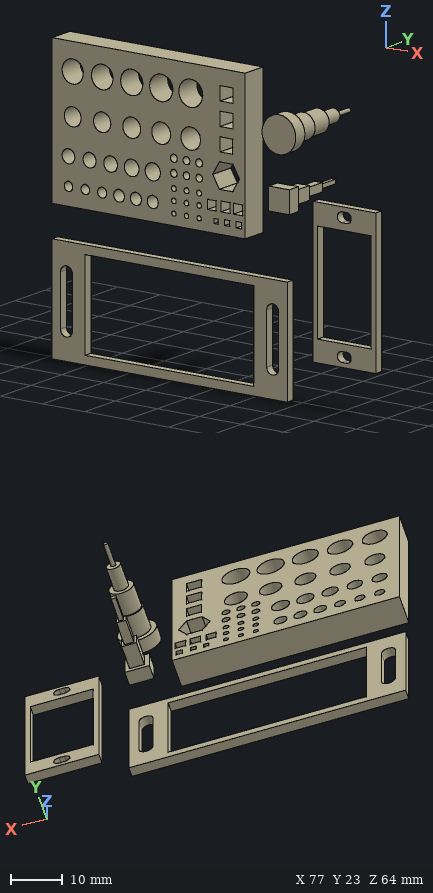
import cadquery as cq


BLOCK_WIDTH = 46.0
BLOCK_HEIGHT = 33.0
BLOCK_DEPTH = 6.0

LARGE_HOLE_ROWS = [
    (27.0, 5.0, 7.0, [5.0, 5.1, 5.2, 5.5, 5.6]),
    (18.0, 5.0, 7.0, [4.0, 4.1, 4.2, 4.5, 4.6]),
    (10.0, 4.0, 5.0, [3.0, 3.1, 3.2, 3.5, 3.6]),
    (4.0, 4.0, 4.0, [2.0, 2.0, 2.15, 2.55, 2.6, 2.6]),
]

SMALL_HOLE_ROWS = [(13.5, 1.6), (10.5, 1.55), (7.5, 1.15), (5.0, 1.1), (2.5, 1.0)]
SMALL_HOLE_FIRST_X = 29.0
SMALL_HOLE_SPACING = 3.0
SMALL_HOLE_COLUMNS = 3

SQUARE_HOLES = [
    (41.5, 28.1, 3.1),
    (41.5, 23.0, 3.1),
    (41.5, 17.95, 3.0),
    (38.0, 5.55, 2.0),
    (41.3, 5.6, 2.15),
    (44.3, 5.6, 2.15),
    (39.0, 2.5, 1.0),
    (41.65, 2.55, 1.15),
    (44.5, 2.55, 1.3),
]

HEX_X = 41.4
HEX_Z = 11.7
HEX_ACROSS_CORNERS = 6.3

FRAME_DEPTH = 2.0

WIDE_WIDTH = 56.0
WIDE_HEIGHT = 23.95
WIDE_GAP_BELOW_BLOCK = 7.0
WIDE_WINDOW_WIDTH = 40.0
WIDE_WINDOW_HEIGHT = 20.0
WIDE_SLOT_SPACING = 49.0
WIDE_SLOT_LENGTH = 14.2
WIDE_SLOT_WIDTH = 2.8

TALL_WIDTH = 15.0
TALL_HEIGHT = 32.0
TALL_RIGHT = 77.0
TALL_TOP = 10.0
TALL_WINDOW_WIDTH = 12.7
TALL_WINDOW_HEIGHT = 22.5
TALL_SLOT_SPACING = 27.8
TALL_SLOT_LENGTH = 3.2
TALL_SLOT_WIDTH = 2.15

PLUG_X = 54.0
HEAD_DEPTH = 3.0
STEP_DEPTH = 5.0
ROUND_PLUG_Z = 22.0
ROUND_HEAD_DIAMETER = 8.0
ROUND_STEP_DIAMETERS = [5.6, 5.1, 3.0, 1.0]
SQUARE_PLUG_Z = 8.9
SQUARE_HEAD_SIDE = 5.0
SQUARE_STEP_SIDES = [3.0, 1.9, 1.0]


def front_plane(x, z, y=0):
    """Workplane at (x, y, z) whose local axes are X and Z; negative extrusion goes back along +Y."""
    return cq.Workplane("XZ", origin=(x, y, z))


def make_block():
    block = front_plane(0, 0).rect(BLOCK_WIDTH, BLOCK_HEIGHT, centered=False).extrude(-BLOCK_DEPTH)
    cutters = front_plane(0, 0)

    for z, first_x, spacing, diameters in LARGE_HOLE_ROWS:
        for column, diameter in enumerate(diameters):
            x = first_x + column * spacing
            cutters = cutters.moveTo(x, z).circle(diameter / 2)

    for z, diameter in SMALL_HOLE_ROWS:
        for column in range(SMALL_HOLE_COLUMNS):
            x = SMALL_HOLE_FIRST_X + column * SMALL_HOLE_SPACING
            cutters = cutters.moveTo(x, z).circle(diameter / 2)

    for x, z, side in SQUARE_HOLES:
        cutters = cutters.moveTo(x, z).rect(side, side)

    cutters = cutters.moveTo(HEX_X, HEX_Z).polygon(6, HEX_ACROSS_CORNERS)
    return block.cut(cutters.extrude(-BLOCK_DEPTH))


def make_frame(centre_x, centre_z, width, height, window_width, window_height):
    """Rectangular frame around a centred rectangular window."""
    return (
        front_plane(centre_x, centre_z)
        .rect(width, height)
        .rect(window_width, window_height)
        .extrude(-FRAME_DEPTH)
    )


def make_wide_frame():
    centre_x = WIDE_WIDTH / 2
    centre_z = -WIDE_GAP_BELOW_BLOCK - WIDE_HEIGHT / 2
    frame = make_frame(
        centre_x, centre_z, WIDE_WIDTH, WIDE_HEIGHT, WIDE_WINDOW_WIDTH, WIDE_WINDOW_HEIGHT
    )
    slots = (
        front_plane(centre_x, centre_z)
        .rarray(WIDE_SLOT_SPACING, 0.8, 2, 1)
        .slot2D(WIDE_SLOT_LENGTH, WIDE_SLOT_WIDTH, 90)
        .extrude(-FRAME_DEPTH)
    )
    return frame.cut(slots)


def make_tall_frame():
    centre_x = TALL_RIGHT - TALL_WIDTH / 2
    centre_z = TALL_TOP - TALL_HEIGHT / 2
    frame = make_frame(
        centre_x, centre_z, TALL_WIDTH, TALL_HEIGHT, TALL_WINDOW_WIDTH, TALL_WINDOW_HEIGHT
    )
    slots = (
        front_plane(centre_x, centre_z)
        .rarray(0.8, TALL_SLOT_SPACING, 1, 2)
        .slot2D(TALL_SLOT_LENGTH, TALL_SLOT_WIDTH)
        .extrude(-FRAME_DEPTH)
    )
    return frame.cut(slots)


def make_round_plug():
    plug = front_plane(PLUG_X, ROUND_PLUG_Z).circle(ROUND_HEAD_DIAMETER / 2).extrude(-HEAD_DEPTH)
    for index, diameter in enumerate(ROUND_STEP_DIAMETERS):
        y = HEAD_DEPTH + index * STEP_DEPTH
        step = front_plane(PLUG_X, ROUND_PLUG_Z, y).circle(diameter / 2).extrude(-STEP_DEPTH)
        plug = plug.union(step)
    return plug


def make_square_plug():
    plug = front_plane(PLUG_X, SQUARE_PLUG_Z).rect(SQUARE_HEAD_SIDE, SQUARE_HEAD_SIDE).extrude(-HEAD_DEPTH)
    for index, side in enumerate(SQUARE_STEP_SIDES):
        y = HEAD_DEPTH + index * STEP_DEPTH
        step = front_plane(PLUG_X, SQUARE_PLUG_Z, y).rect(side, side).extrude(-STEP_DEPTH)
        plug = plug.union(step)
    return plug


block = make_block()
wide_frame = make_wide_frame()
tall_frame = make_tall_frame()
round_plug = make_round_plug()
square_plug = make_square_plug()

result = cq.Compound.makeCompound(
    [block.val(), wide_frame.val(), tall_frame.val(), round_plug.val(), square_plug.val()]
)